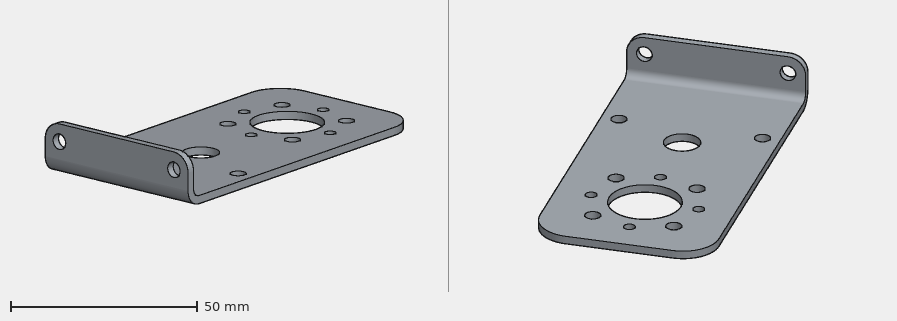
import cadquery as cq

width = 50.0
length = 96.3
height = 14.6
thickness = 2.3
bend_outer_radius = 4.6
bend_inner_radius = bend_outer_radius - thickness
plate_corner_radius = 10.0
flange_corner_radius = 5.0

bore_diameter = 20.0
access_diameter = 10.0
screw_diameter = 4.3
small_screw_diameter = 3.2

bore_edge_distance = 25.0
small_screw_circle_radius = 15.0
screw_circle_radius = 16.0
access_offset = 36.0
side_hole_offset = 44.4
side_hole_spacing = 40.1
flange_hole_edge_distance = 5.0

front_y = -length / 2
rear_y = length / 2
bore_y = rear_y - bore_edge_distance


def bent_sheet():
    """L-shaped sheet with concentric bend radii, centred on X and standing on Z = 0."""
    profile = (
        cq.Workplane("YZ", origin=(-width / 2, 0, 0))
        .moveTo(rear_y, 0)
        .lineTo(front_y + bend_outer_radius, 0)
        .radiusArc((front_y, bend_outer_radius), bend_outer_radius)
        .lineTo(front_y, height)
        .lineTo(front_y + thickness, height)
        .lineTo(front_y + thickness, bend_outer_radius)
        .radiusArc((front_y + bend_outer_radius, thickness), -bend_inner_radius)
        .lineTo(rear_y, thickness)
        .close()
    )
    sheet = profile.extrude(width)
    sheet = sheet.faces(">Y").edges("|Z").fillet(plate_corner_radius)
    return sheet.faces(">Z").edges("|Y").fillet(flange_corner_radius)


def plate_cutters(points, diameter):
    """Vertical cylinders through the base plate."""
    return cq.Workplane("XY").pushPoints(points).circle(diameter / 2).extrude(thickness)


def bolt_circle_cutters(radius, start_angle, diameter):
    """Four equally spaced vertical cylinders around the bore."""
    return (
        cq.Workplane("XY", origin=(0, bore_y, 0))
        .polarArray(radius, start_angle, 360, 4)
        .circle(diameter / 2)
        .extrude(thickness)
    )


def flange_cutters():
    """Screw holes through the upright flange, along Y."""
    hole_z = height - flange_hole_edge_distance
    points = [(side * side_hole_spacing / 2, hole_z) for side in (-1, 1)]
    return (
        cq.Workplane("XZ", origin=(0, front_y + thickness, 0))
        .pushPoints(points)
        .circle(screw_diameter / 2)
        .extrude(thickness)
    )


side_hole_points = [(side * side_hole_spacing / 2, bore_y - side_hole_offset) for side in (-1, 1)]

result = (
    bent_sheet()
    .cut(plate_cutters([(0, bore_y)], bore_diameter))
    .cut(plate_cutters([(0, bore_y - access_offset)], access_diameter))
    .cut(plate_cutters(side_hole_points, screw_diameter))
    .cut(bolt_circle_cutters(small_screw_circle_radius, 0, small_screw_diameter))
    .cut(bolt_circle_cutters(screw_circle_radius, 45, screw_diameter))
    .cut(flange_cutters())
)